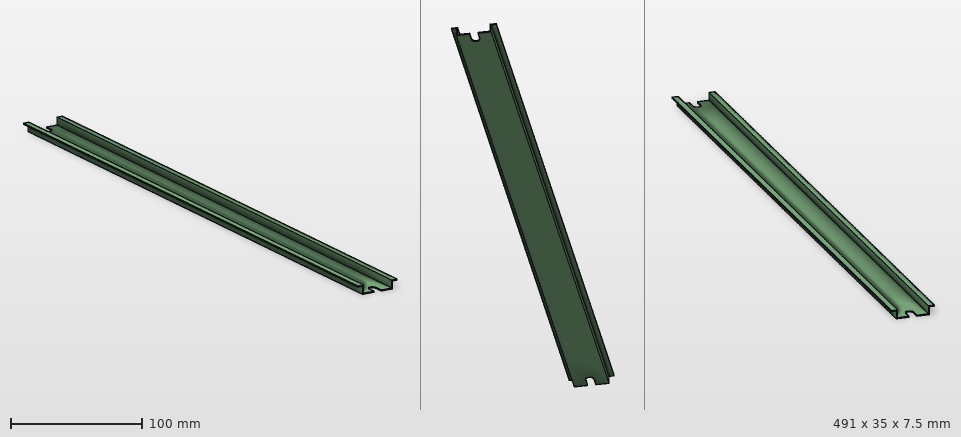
import cadquery as cq

length = 491.0
width = 35.0
height = 7.5
sheet = 1.0
channel_width = 27.0

slot_width = 6.5
slot_depth = 11.0


def rail_section():
    """Hat-shaped sheet section in the YZ plane, centred on Y = 0, with its base at Z = 0."""
    outer_wall = channel_width / 2
    inner_wall = outer_wall - sheet
    lip_edge = width / 2
    lip_underside = height - sheet
    return (
        cq.Workplane("YZ")
        .moveTo(-outer_wall, 0)
        .lineTo(outer_wall, 0)
        .lineTo(outer_wall, lip_underside)
        .lineTo(lip_edge, lip_underside)
        .lineTo(lip_edge, height)
        .lineTo(inner_wall, height)
        .lineTo(inner_wall, sheet)
        .lineTo(-inner_wall, sheet)
        .lineTo(-inner_wall, height)
        .lineTo(-lip_edge, height)
        .lineTo(-lip_edge, lip_underside)
        .lineTo(-outer_wall, lip_underside)
        .close()
    )


def end_slot(end):
    """Round-bottomed slot cutter entering the web from one end (-1 or +1) of the rail."""
    radius = slot_width / 2
    end_face = end * length / 2
    arc_start = end_face - end * (slot_depth - radius)
    arc_tip = end_face - end * slot_depth
    return (
        cq.Workplane("XY")
        .moveTo(end_face, -radius)
        .lineTo(arc_start, -radius)
        .threePointArc((arc_tip, 0), (arc_start, radius))
        .lineTo(end_face, radius)
        .close()
        .extrude(sheet)
    )


result = rail_section().extrude(length / 2, both=True)
for end in (-1, 1):
    result = result.cut(end_slot(end))